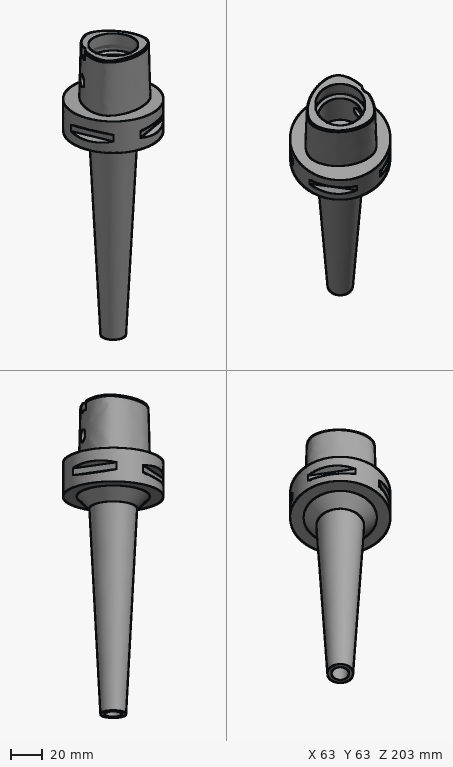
import cadquery as cq
import math

TOTAL_LENGTH = 203.0
SHANK_LENGTH = 38.0
FLANGE_HEIGHT = 22.1
NECK_HEIGHT = 8.0
FLANGE_TOP = TOTAL_LENGTH - SHANK_LENGTH
FLANGE_BOTTOM = FLANGE_TOP - FLANGE_HEIGHT
NECK_BOTTOM = FLANGE_BOTTOM - NECK_HEIGHT

FLANGE_RADIUS = 31.5
STEM_RADIUS = 15.0
NECK_RADIUS = STEM_RADIUS + NECK_HEIGHT
NOSE_RADIUS = 8.1

SHANK_BASE_RADIUS = 22.3
SHANK_TAPER = 1 / 40
LOBE_HEIGHT = 1.52
LOBE_COUNT = 3
PROFILE_POINTS = 48
RIM_CHAMFER_HEIGHT = 1.2
RIM_CHAMFER_WIDTH = 0.6

MOUTH_RADIUS = 15.6
MOUTH_DEPTH = 8.0
GROOVE_RADIUS = 16.5
GROOVE_TOP_DEPTH = 10.5
GROOVE_BOTTOM_DEPTH = 12.4
SEAT_DEPTH = 13.8
BORE_RADIUS = 14.0
BORE_DEPTH = SHANK_LENGTH
COUNTERBORE_RADIUS = 9.0
COUNTERBORE_DEPTH = BORE_DEPTH + FLANGE_HEIGHT
COOLANT_RADIUS = 5.5
COOLANT_CHAMFER = 0.5

NOTCH_RADIUS = 5.9
NOTCH_DEPTH = 6.0
NOTCH_INNERMOST_Y = -18.3
HOLE_RADIUS = 4.0
HOLE_DROP = 22.3

SLOT_COUNT = 4
SLOT_FLOOR_DISTANCE = 27.6
SLOT_FLOOR_HEIGHT = 4.5
SLOT_DROP = 11.8
SLOT_SIDE_SLOPE = 0.44
SLOT_OVERSHOOT = 2.0


def shank_profile(height, radius):
    """Closed constant-width lobed outline at the given height."""
    points = []
    for index in range(PROFILE_POINTS):
        angle = 2 * math.pi * index / PROFILE_POINTS
        lobe_angle = LOBE_COUNT * (angle - math.pi / 2)
        reach = radius + LOBE_HEIGHT * math.cos(lobe_angle)
        slide = -LOBE_COUNT * LOBE_HEIGHT * math.sin(lobe_angle)
        x = reach * math.cos(angle) - slide * math.sin(angle)
        y = reach * math.sin(angle) + slide * math.cos(angle)
        points.append(cq.Vector(x, y, height))
    return cq.Wire.assembleEdges([cq.Edge.makeSpline(points, periodic=True)])


def shank():
    """Tapered lobed shank with a chamfered rim."""
    chamfer_start = TOTAL_LENGTH - RIM_CHAMFER_HEIGHT
    top_radius = SHANK_BASE_RADIUS - SHANK_TAPER * (chamfer_start - FLANGE_TOP)
    base = shank_profile(FLANGE_TOP, SHANK_BASE_RADIUS)
    shoulder = shank_profile(chamfer_start, top_radius)
    rim = shank_profile(TOTAL_LENGTH, top_radius - RIM_CHAMFER_WIDTH)
    taper = cq.Workplane(cq.Solid.makeLoft([base, shoulder], True))
    return taper.union(cq.Workplane(cq.Solid.makeLoft([shoulder, rim], True)))


def revolved(outline):
    """Solid of revolution about Z from (radius, height) points."""
    return cq.Workplane("XZ").polyline(outline).close().revolve(360, (0, 0), (0, 1))


def turned_body():
    """Flange, conical neck and long slender stem."""
    return revolved([
        (0, 0),
        (NOSE_RADIUS, 0),
        (STEM_RADIUS, NECK_BOTTOM),
        (NECK_RADIUS, FLANGE_BOTTOM),
        (FLANGE_RADIUS, FLANGE_BOTTOM),
        (FLANGE_RADIUS, FLANGE_TOP),
        (0, FLANGE_TOP),
    ])


def stepped_bore():
    """Undercut mouth, main bore, counterbore and through coolant bore."""
    counterbore_floor = TOTAL_LENGTH - COUNTERBORE_DEPTH
    return revolved([
        (0, 0),
        (COOLANT_RADIUS, 0),
        (COOLANT_RADIUS, counterbore_floor - COOLANT_CHAMFER),
        (COOLANT_RADIUS + COOLANT_CHAMFER, counterbore_floor),
        (COUNTERBORE_RADIUS, counterbore_floor),
        (COUNTERBORE_RADIUS, TOTAL_LENGTH - BORE_DEPTH),
        (BORE_RADIUS, TOTAL_LENGTH - BORE_DEPTH),
        (BORE_RADIUS, TOTAL_LENGTH - SEAT_DEPTH),
        (GROOVE_RADIUS, TOTAL_LENGTH - GROOVE_BOTTOM_DEPTH),
        (GROOVE_RADIUS, TOTAL_LENGTH - GROOVE_TOP_DEPTH),
        (MOUTH_RADIUS, TOTAL_LENGTH - MOUTH_DEPTH),
        (MOUTH_RADIUS, TOTAL_LENGTH),
        (0, TOTAL_LENGTH),
    ])


def rim_notch():
    """Shallow scooped notch in the -Y edge of the rim."""
    axis_y = NOTCH_INNERMOST_Y - NOTCH_RADIUS
    plane = cq.Workplane("XY", origin=(0, axis_y, TOTAL_LENGTH - NOTCH_DEPTH))
    return plane.circle(NOTCH_RADIUS).extrude(NOTCH_DEPTH)


def cross_hole():
    """Radial hole through the -Y wall of the shank into the bore."""
    plane = cq.Workplane("XZ", origin=(0, 0, TOTAL_LENGTH - HOLE_DROP))
    return plane.circle(HOLE_RADIUS).extrude(FLANGE_RADIUS)


def gripper_slot(angle):
    """Straight slot with flared sides across the flange at the given angle."""
    middle = FLANGE_TOP - SLOT_DROP
    outer = FLANGE_RADIUS + SLOT_OVERSHOOT
    half_floor = SLOT_FLOOR_HEIGHT / 2
    half_mouth = half_floor + SLOT_SIDE_SLOPE * (outer - SLOT_FLOOR_DISTANCE)
    outline = [
        (SLOT_FLOOR_DISTANCE, middle - half_floor),
        (outer, middle - half_mouth),
        (outer, middle + half_mouth),
        (SLOT_FLOOR_DISTANCE, middle + half_floor),
    ]
    slot = cq.Workplane("XZ").polyline(outline).close().extrude(FLANGE_RADIUS, both=True)
    return slot.rotate((0, 0, 0), (0, 0, 1), angle)


result = turned_body().union(shank()).cut(stepped_bore()).cut(rim_notch()).cut(cross_hole())
for slot_index in range(SLOT_COUNT):
    result = result.cut(gripper_slot((slot_index + 0.5) * 360 / SLOT_COUNT))